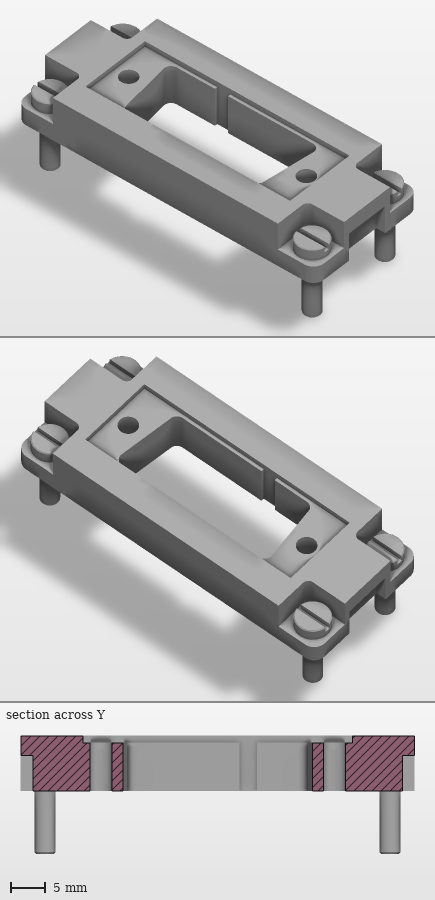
import cadquery as cq
import math

length = 56.5
width = 23.0
height = 8.0
corner_radius = 2.0

ledge_length = 7.0
ledge_width = 6.45
ledge_height = 3.1
ledge_inner_radius = 1.0

seat_length = 38.65
seat_width = 13.1
seat_depth = 1.0

opening_long_side = 28.6
opening_width = 12.1
opening_side_angle = 7.0
opening_corner_radius = 1.25

slot_length = 2.5
slot_center_x = -4.4

fixing_hole_diameter = 3.1
fixing_hole_x = 16.8

end_recess_width = 8.0
end_recess_height = 5.15
end_recess_depth = 1.7

screw_x = 24.75
screw_y = 8.0
head_diameter = 5.55
head_height = 2.05
head_chamfer = 0.15
shank_diameter = 3.0
shank_projection = 9.0
shank_chamfer = 0.2
driver_slot_width = 0.9
driver_slot_depth = 1.0


def make_block():
    block = cq.Workplane("XY").box(length, width, height, centered=(True, True, False))
    return block.edges("|Z").fillet(corner_radius)


def cut_corner_ledges(body):
    cutter = (
        cq.Workplane("XY", origin=(0, 0, ledge_height))
        .rarray(length, width, 2, 2)
        .rect(2 * ledge_length, 2 * ledge_width)
        .extrude(height)
        .edges("|Z")
        .fillet(ledge_inner_radius)
    )
    return body.cut(cutter)


def cut_seat(body):
    return body.faces(">Z").workplane().rect(seat_length, seat_width).cutBlind(-seat_depth)


def cut_opening(body):
    half_long = opening_long_side / 2
    half_width = opening_width / 2
    half_short = half_long - opening_width * math.tan(math.radians(opening_side_angle))
    opening = (
        cq.Workplane("XY")
        .polyline(
            [
                (-half_long, half_width),
                (half_long, half_width),
                (half_short, -half_width),
                (-half_short, -half_width),
            ]
        )
        .close()
        .extrude(height)
        .edges("|Z")
        .fillet(opening_corner_radius)
    )
    slots = cq.Workplane("XY").center(slot_center_x, 0).rect(slot_length, seat_width).extrude(height)
    return body.cut(opening).cut(slots)


def cut_fixing_holes(body):
    holes = (
        cq.Workplane("XY")
        .pushPoints([(-fixing_hole_x, 0), (fixing_hole_x, 0)])
        .circle(fixing_hole_diameter / 2)
        .extrude(height)
    )
    return body.cut(holes)


def cut_end_recesses(body):
    recesses = (
        cq.Workplane("XY")
        .rarray(length, 0.55, 2, 1)
        .rect(2 * end_recess_depth, end_recess_width)
        .extrude(end_recess_height)
    )
    return body.cut(recesses)


def make_screw():
    shank = (
        cq.Workplane("XY", origin=(0, 0, -shank_projection))
        .circle(shank_diameter / 2)
        .extrude(shank_projection + ledge_height)
        .faces("<Z")
        .chamfer(shank_chamfer)
    )
    head = (
        cq.Workplane("XY", origin=(0, 0, ledge_height))
        .circle(head_diameter / 2)
        .extrude(head_height)
        .faces(">Z")
        .chamfer(head_chamfer)
    )
    driver_slot = (
        cq.Workplane("XY", origin=(0, 0, ledge_height + head_height - driver_slot_depth))
        .rect(head_diameter, driver_slot_width)
        .extrude(driver_slot_depth)
    )
    return head.cut(driver_slot).union(shank)


result = make_block()
result = cut_corner_ledges(result)
result = cut_seat(result)
result = cut_opening(result)
result = cut_fixing_holes(result)
result = cut_end_recesses(result)
for x in (-screw_x, screw_x):
    for y in (-screw_y, screw_y):
        result = result.union(make_screw().translate((x, y, 0)))